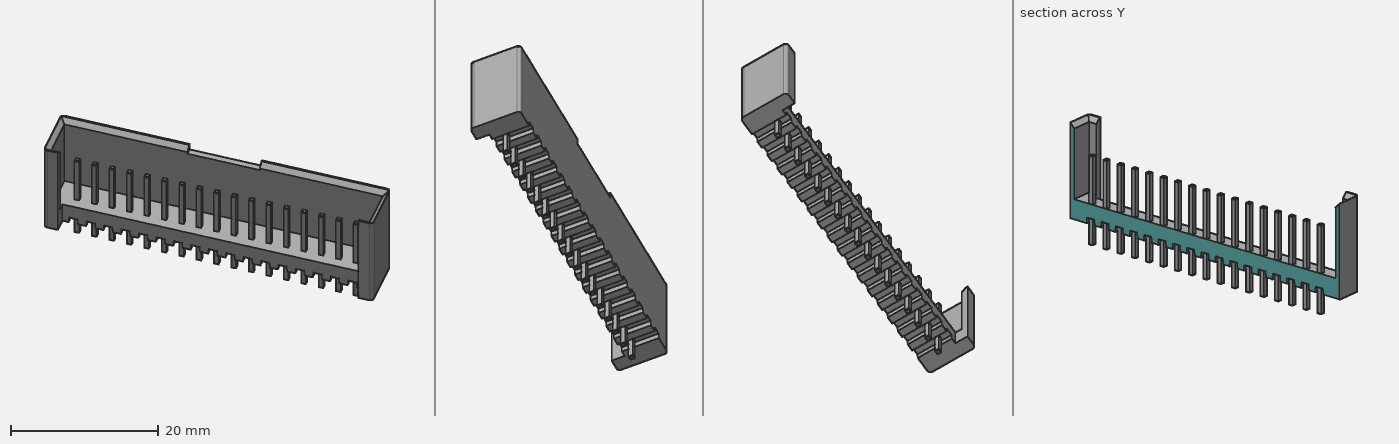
import cadquery as cq

length = 47.2
depth = 7.5
height = 14.05
total_height = 17.1
corner_radius = 0.5
end_wall = 0.75
long_wall = 0.95
floor_thickness = 3.0
rim_chamfer = 0.7

leg_width = 2.05
floor_front_y = -1.8

notch_width = 10.4
notch_depth = 1.0

pin_count = 17
pin_pitch = 2.5
pin_width = 0.65
pin_tip_chamfer = 0.1
pin_top_below_rim = 3.95
pin_tail = total_height - height

channel_height = 0.85
channel_bottom_width = 1.35
channel_top_width = 1.2

pin_positions = [(i - (pin_count - 1) / 2) * pin_pitch for i in range(pin_count)]


def make_shell():
    """Open-topped box with rounded vertical corners and a bevelled inner rim."""
    outer = cq.Workplane("XY").box(length, depth, height, centered=(True, True, False))
    outer = outer.edges("|Z").fillet(corner_radius)
    inner_length = length - 2 * end_wall
    inner_depth = depth - 2 * long_wall
    cavity = (
        cq.Workplane("XY")
        .workplane(offset=floor_thickness)
        .rect(inner_length, inner_depth)
        .extrude(height - floor_thickness)
    )
    bevel = (
        cq.Workplane("XY")
        .workplane(offset=height - rim_chamfer)
        .rect(inner_length, inner_depth)
        .workplane(offset=rim_chamfer)
        .rect(inner_length + 2 * rim_chamfer, inner_depth + 2 * rim_chamfer)
        .loft(ruled=True)
    )
    return outer.cut(cavity).cut(bevel)


def make_front_opening():
    """Full-height block that clears the front wall and floor between the legs."""
    opening_depth = floor_front_y + depth / 2
    return (
        cq.Workplane("XY")
        .box(length - 2 * leg_width, opening_depth, height, centered=(True, False, False))
        .translate((0, -depth / 2, 0))
    )


def make_notch():
    """Block that lowers the middle of the back wall, from the centre plane outward."""
    return (
        cq.Workplane("XY")
        .box(notch_width, depth / 2, notch_depth, centered=(True, False, False))
        .translate((0, 0, height - notch_depth))
    )


def make_channel(x):
    """Tapered channel running front to back under the floor at x."""
    return (
        cq.Workplane("XZ")
        .polyline([
            (x - channel_bottom_width / 2, 0),
            (x + channel_bottom_width / 2, 0),
            (x + channel_top_width / 2, channel_height),
            (x - channel_top_width / 2, channel_height),
        ])
        .close()
        .extrude(depth / 2, both=True)
    )


def make_pin(x):
    """Square pin through the floor, with both tips bevelled."""
    pin_length = height - pin_top_below_rim + pin_tail
    return (
        cq.Workplane("XY")
        .box(pin_width, pin_width, pin_length, centered=(True, True, False))
        .faces("<Z or >Z")
        .chamfer(pin_tip_chamfer)
        .translate((x, 0, -pin_tail))
    )


result = make_shell().cut(make_front_opening()).cut(make_notch())
for pin_x in pin_positions:
    result = result.cut(make_channel(pin_x))
for pin_x in pin_positions:
    result = result.union(make_pin(pin_x))